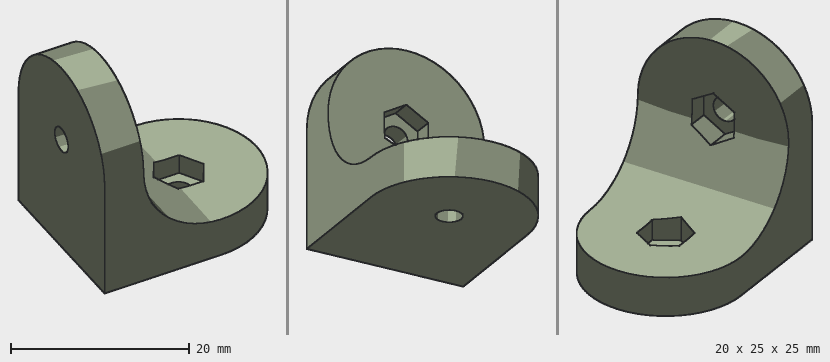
import cadquery as cq
import math

width = 20.0
length = 25.0
thickness = 5.0
hole_diameter = 3.1
nut_across_flats = 5.6
nut_pocket_depth = 2.5

end_radius = width / 2
hole_offset = length - end_radius
inner_radius = hole_offset - thickness
nut_across_corners = nut_across_flats / math.cos(math.pi / 6)
pocket_floor = thickness - nut_pocket_depth

wall_plane = cq.Plane(origin=(0, 0, 0), xDir=(-1, 0, 0), normal=(0, 1, 0))
base_plane = cq.Plane.XY()


def rounded_outline(plane):
    """Full-length prism with straight sides and a semicircular end."""
    return (
        cq.Workplane(plane)
        .moveTo(-end_radius, 0)
        .lineTo(end_radius, 0)
        .lineTo(end_radius, hole_offset)
        .threePointArc((0, length), (-end_radius, hole_offset))
        .close()
        .extrude(length)
    )


def bolt_cutter(plane):
    """Through hole with a hexagonal nut pocket open to the inner side."""
    hole = cq.Workplane(plane).center(0, hole_offset).circle(hole_diameter / 2).extrude(thickness)
    pocket = (
        cq.Workplane(plane.rotated((0, 0, 90)))
        .workplane(offset=pocket_floor)
        .center(hole_offset, 0)
        .polygon(6, nut_across_corners)
        .extrude(length - pocket_floor)
    )
    return hole.union(pocket)


arc_drop = inner_radius * math.sqrt(0.5)
arc_middle = hole_offset - arc_drop
profile = (
    cq.Workplane("YZ")
    .moveTo(0, 0)
    .lineTo(length, 0)
    .lineTo(length, thickness)
    .lineTo(hole_offset, thickness)
    .threePointArc((arc_middle, arc_middle), (thickness, hole_offset))
    .lineTo(thickness, length)
    .lineTo(0, length)
    .close()
    .extrude(width / 2, both=True)
)

result = profile
for leg_plane in (base_plane, wall_plane):
    result = result.intersect(rounded_outline(leg_plane))
for leg_plane in (base_plane, wall_plane):
    result = result.cut(bolt_cutter(leg_plane))